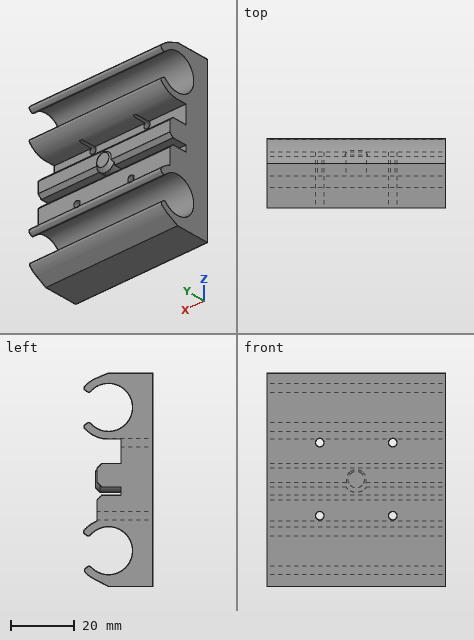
import cadquery as cq
import math

WIDTH = 56.0
HEIGHT = 67.0
TOP = HEIGHT / 2
BOTTOM = -HEIGHT / 2

FLOOR_DEPTH = 10.05
RAIL_DEPTH = 17.55
PIN_DEPTH = 18.1
CLIP_CENTRE_DEPTH = 13.95

CLIP_INNER_RADIUS = 7.5
CLIP_OUTER_RADIUS = 10.0
ARM_TIP_FILLET = 0.8
UPPER_CLIP_Z = 22.7
LOWER_CLIP_Z = -22.25
CLIP_HALF_OPENING = 36.2
LOWER_CLIP_TILT = -1.2

UPPER_RAIL_TOP = 5.15
UPPER_RAIL_BOTTOM = -2.3
LOWER_RAIL_TOP = -4.8
RAIL_CHAMFER = 1.5

PATTERN_CENTRE_Z = 0.2
PIN_Z = 0.1
HOLE_SPACING = 22.9
HOLE_DIAMETER = 2.6
PIN_DIAMETER = 8.0
PIN_CHAMFER = 1.4


def extrude_profile(sketch):
    """Extrude a YZ outline over the whole width, centred on X = 0."""
    return sketch.extrude(WIDTH / 2, both=True)


def box_profile(depth, z_low, z_high):
    """Full-width bar standing on the mounting face."""
    outline = cq.Workplane("YZ").moveTo(0, z_low).lineTo(depth, z_low)
    return extrude_profile(outline.lineTo(depth, z_high).lineTo(0, z_high).close())


def full_cylinder(radius, y, z):
    """Full-width round bar along X."""
    return extrude_profile(cq.Workplane("YZ").center(y, z).circle(radius))


def polar(radius, angle, centre_z):
    """Point (Y, Z) around a clip axis; angle in degrees from +Y toward +Z."""
    a = math.radians(angle)
    return (CLIP_CENTRE_DEPTH + radius * math.cos(a), centre_z + radius * math.sin(a))


def clip_shoulder(centre_z, edge_z):
    """Solid backing of a clip, its sloped side tangent to the clip's outer circle."""
    drop = abs(edge_z - centre_z)
    side = math.copysign(1, edge_z - centre_z)
    tangent_angle = math.degrees(math.asin(CLIP_OUTER_RADIUS / drop))
    outline = (
        cq.Workplane("YZ")
        .moveTo(0, centre_z)
        .lineTo(0, edge_z)
        .lineTo(CLIP_CENTRE_DEPTH, edge_z)
        .lineTo(*polar(CLIP_OUTER_RADIUS, side * tangent_angle, centre_z))
        .lineTo(CLIP_CENTRE_DEPTH, centre_z)
        .close()
    )
    return extrude_profile(outline)


def clip_channel(centre_z, tilt):
    """Round channel plus the mouth that opens it toward +Y; its sides form the arm ends."""
    reach = 2 * CLIP_OUTER_RADIUS
    mouth = (
        cq.Workplane("YZ")
        .moveTo(CLIP_CENTRE_DEPTH, centre_z)
        .lineTo(*polar(reach, tilt + CLIP_HALF_OPENING, centre_z))
        .lineTo(*polar(reach, tilt - CLIP_HALF_OPENING, centre_z))
        .close()
    )
    bore = full_cylinder(CLIP_INNER_RADIUS, CLIP_CENTRE_DEPTH, centre_z)
    return extrude_profile(mouth).union(bore)


def round_arm_tips(clips_body):
    """Fillet the end corners of the clip arms, the only edges along X past the pin's end face."""
    beyond_pin = cq.selectors.BoxSelector((-WIDTH, PIN_DEPTH, BOTTOM), (WIDTH, HEIGHT, TOP))
    return clips_body.edges("|X").edges(beyond_pin).fillet(ARM_TIP_FILLET)


def screw_holes():
    """Four round holes running from the mounting face through the rails."""
    return (
        cq.Workplane("XZ")
        .center(0, PATTERN_CENTRE_Z)
        .rarray(HOLE_SPACING, HOLE_SPACING, 2, 2)
        .circle(HOLE_DIAMETER / 2)
        .extrude(-RAIL_DEPTH)
    )


def pin():
    """Chamfered round pin standing midway between the holes, slightly proud of the rails."""
    post = cq.Workplane("XZ").center(0, PIN_Z).circle(PIN_DIAMETER / 2).extrude(-PIN_DEPTH)
    return post.faces(">Y").chamfer(PIN_CHAMFER)


body = box_profile(FLOOR_DEPTH, BOTTOM, TOP)
upper_rail = box_profile(RAIL_DEPTH, UPPER_RAIL_BOTTOM, UPPER_RAIL_TOP)
upper_rail = upper_rail.edges("|X and >Y").chamfer(RAIL_CHAMFER)
lower_rail = box_profile(RAIL_DEPTH, LOWER_CLIP_Z, LOWER_RAIL_TOP)
lower_rail = lower_rail.edges("|X and >Y and >Z").chamfer(RAIL_CHAMFER)
body = body.union(upper_rail).union(lower_rail)

inner_side_z = UPPER_CLIP_Z - CLIP_OUTER_RADIUS
body = body.union(box_profile(CLIP_CENTRE_DEPTH, inner_side_z, UPPER_CLIP_Z))

for centre_z, edge_z, tilt in (
    (UPPER_CLIP_Z, TOP, 0.0),
    (LOWER_CLIP_Z, BOTTOM, LOWER_CLIP_TILT),
):
    body = body.union(full_cylinder(CLIP_OUTER_RADIUS, CLIP_CENTRE_DEPTH, centre_z))
    body = body.union(clip_shoulder(centre_z, edge_z))
    body = body.cut(clip_channel(centre_z, tilt))
body = round_arm_tips(body)

result = body.union(pin()).cut(screw_holes())